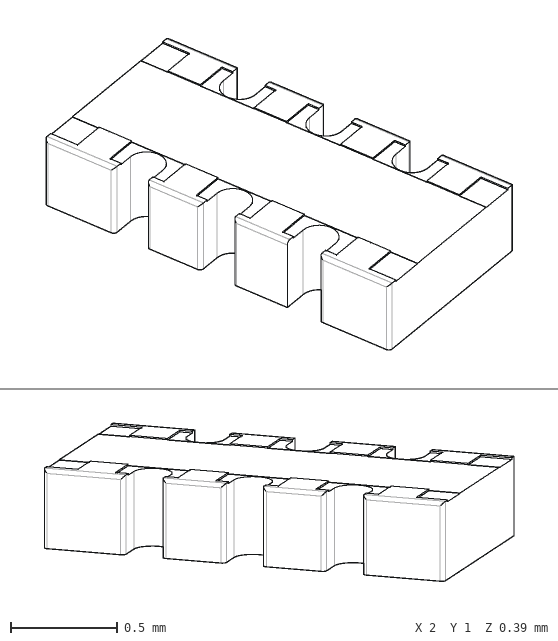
import cadquery as cq

LENGTH = 2.0
WIDTH = 1.0
HEIGHT = 0.385

PITCH = 0.5
TEETH_PER_SIDE = 4
NOTCHES_PER_SIDE = TEETH_PER_SIDE - 1
NOTCH_WIDTH = 0.185
NOTCH_DEPTH = 0.22

PLATING_THICKNESS = 0.008
BAR_DEPTH = 0.05
STEM_WIDTH = 0.188
STEM_REACH = 0.225

COAT_THICKNESS = 0.002
COAT_WIDTH = WIDTH - 2 * STEM_REACH

EDGE_RADIUS = 0.02

BODY_HEIGHT = HEIGHT - PLATING_THICKNESS
LONG_SIDES = (-1, 1)


def row_positions(count):
    """X positions of a row centred on the origin at the tooth pitch."""
    return [(i - (count - 1) / 2) * PITCH for i in range(count)]


def make_layer(x, y, length, width, thickness):
    """Flat rectangular layer lying on the body's top face."""
    return (
        cq.Workplane("XY", origin=(x, y, BODY_HEIGHT))
        .rect(length, width)
        .extrude(thickness)
    )


def make_plating_strip(x, side, length, depth):
    """Plating strip reaching inward from one long side."""
    return make_layer(x, side * (WIDTH - depth) / 2, length, depth, PLATING_THICKNESS)


def make_notch(x, side):
    """Full-height, round-bottomed slot open to one long side."""
    return (
        cq.Workplane("XY", origin=(x, side * WIDTH / 2, 0))
        .slot2D(2 * NOTCH_DEPTH, NOTCH_WIDTH, 90)
        .extrude(HEIGHT)
    )


part = cq.Workplane("XY").box(LENGTH, WIDTH, BODY_HEIGHT, centered=(True, True, False))
part = part.union(make_layer(0, 0, LENGTH, COAT_WIDTH, COAT_THICKNESS))

for side in LONG_SIDES:
    part = part.union(make_plating_strip(0, side, LENGTH, BAR_DEPTH))
    for x in row_positions(TEETH_PER_SIDE):
        part = part.union(make_plating_strip(x, side, STEM_WIDTH, STEM_REACH))
    for x in row_positions(NOTCHES_PER_SIDE):
        part = part.cut(make_notch(x, side))

sharp_edge_x = row_positions(NOTCHES_PER_SIDE)[-1] - NOTCH_WIDTH / 2
sharp_edge = cq.selectors.BoxSelector(
    (sharp_edge_x - EDGE_RADIUS, -WIDTH / 2 - EDGE_RADIUS, 0),
    (sharp_edge_x + EDGE_RADIUS, -WIDTH / 2 + EDGE_RADIUS, BODY_HEIGHT),
)
tooth_edges = cq.selectors.StringSyntaxSelector("|Z or >Z")
result = part.faces("<Y or >Y").edges(tooth_edges - sharp_edge).fillet(EDGE_RADIUS)